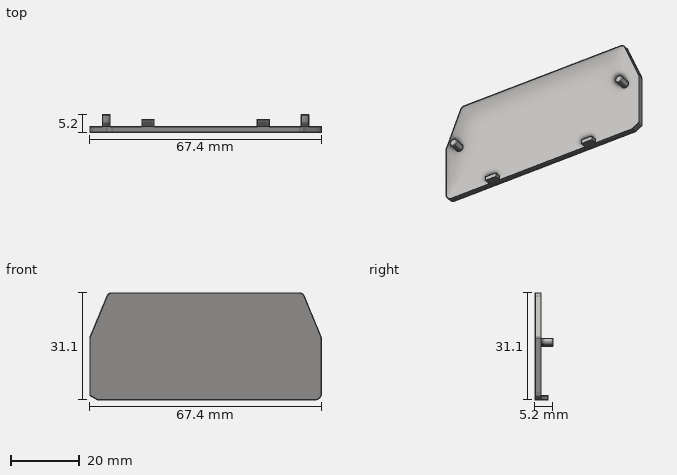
import cadquery as cq
import math

LENGTH = 67.4
HEIGHT = 31.15
THICKNESS = 1.7

SLOPE_ANGLE = 22.5
SHOULDER_DROP = 13.05
TOP_RADIUS = 1.5
SHOULDER_RADIUS = 1.0

BEVEL_LENGTH = 2.35
BEVEL_HEIGHT = 1.35
BEVEL_RADIUS = 0.5
BOTTOM_RADIUS = 2.0

PIN_DIAMETER = 2.3
PIN_LENGTH = 3.5
PIN_TIP_RADIUS = 0.25
PIN_OFFSET = 28.9
PIN_DROP = 14.4

FOOT_LENGTH = 3.6
FOOT_HEIGHT = 1.3
FOOT_DEPTH = 2.0
FOOT_OFFSET = 16.75

END = LENGTH / 2
TOP = HEIGHT / 2
BOTTOM = -TOP
SHOULDER_Z = TOP - SHOULDER_DROP
TOP_END = END - SHOULDER_DROP * math.tan(math.radians(SLOPE_ANGLE))


def corner_edges(body, x, z):
    """Select the plate edge along Y that passes through the corner (x, z)."""
    return body.edges(cq.selectors.NearestToPointSelector((x, THICKNESS / 2, z)))


def make_plate():
    outline = [
        (-END + BEVEL_LENGTH, BOTTOM),
        (END, BOTTOM),
        (END, SHOULDER_Z),
        (TOP_END, TOP),
        (-TOP_END, TOP),
        (-END, SHOULDER_Z),
        (-END, BOTTOM + BEVEL_HEIGHT),
    ]
    plate = cq.Workplane("XZ").polyline(outline).close().extrude(-THICKNESS)
    for side in (-1, 1):
        plate = corner_edges(plate, side * TOP_END, TOP).fillet(TOP_RADIUS)
        plate = corner_edges(plate, side * END, SHOULDER_Z).fillet(SHOULDER_RADIUS)
    plate = corner_edges(plate, -END, BOTTOM + BEVEL_HEIGHT).fillet(BEVEL_RADIUS)
    return corner_edges(plate, END, BOTTOM).fillet(BOTTOM_RADIUS)


def make_pin(x):
    pin = (
        cq.Workplane("XZ", origin=(x, 0, TOP - PIN_DROP))
        .circle(PIN_DIAMETER / 2)
        .extrude(-(THICKNESS + PIN_LENGTH))
    )
    return pin.faces(">Y").edges().fillet(PIN_TIP_RADIUS)


def make_foot(x):
    depth = THICKNESS + FOOT_DEPTH
    foot = cq.Workplane("XY").box(FOOT_LENGTH, depth, FOOT_HEIGHT, centered=(True, False, False))
    return foot.translate((x, 0, BOTTOM))


result = make_plate()
for side in (-1, 1):
    result = result.union(make_pin(side * PIN_OFFSET))
    result = result.union(make_foot(side * FOOT_OFFSET))